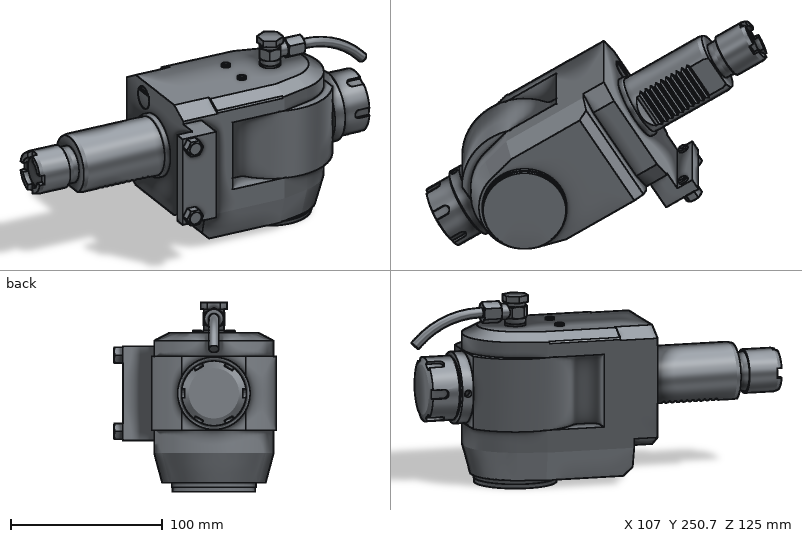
import cadquery as cq
import math


SIDES = (-1, 1)

HALF_WIDTH = 39.4
TOP_Z = 39.9
MOUNT_HEIGHT_BELOW = 40.0
MOUNT_LENGTH = 25.5
MOUNT_CHAMFER_X = 12.5
MOUNT_CHAMFER_Z = 6.8
PIVOT_Y = 86.0
NOSE_RADIUS = 35.3
NOSE_TAPER = math.radians(15)
BACK_Y = PIVOT_Y + NOSE_RADIUS
TOP_BEVEL_INSET = 10.0
TOP_BEVEL_DROP = 5.3
EDGE_BREAK_X = 0.8
EDGE_BREAK_Z = 1.0
EDGE_BREAK_END_Y = 74.2

DRAFT_TOP_Z = -39.4
DRAFT_INSET = 5.3
BOTTOM_Z = -59.0
LOWER_FRONT_Y = 16.0
LOWER_CHAMFER = 6.0
COVER_RADIUS = 27.8
COVER_HEIGHT = 6.0
COVER_STEP = 3.0
COVER_STEP_RADIUS = 27.3

DRUM_RADIUS = 41.0
DRUM_HALF_HEIGHT = 24.3
POCKET_WALL_Y = 36.8
POCKET_FLOOR_X = 23.8
POCKET_CORNER_RADIUS = 5.5
POCKET_BLEND_RADIUS = 4.8

COLLAR_RADIUS = 23.8
COLLAR_GAP = 0.5
COLLAR_SEAT_RADIUS = 20.0
COLLAR_LENGTH = 7.5
COLLAR_HOLE_RADIUS = 2.3
COLLAR_HOLE_DEPTH = 5.0
NUT_GROOVE_RADIUS = 20.0
NUT_GROOVE_WIDTH = 1.3
NUT_RADIUS = 21.3
NUT_LENGTH = 19.8
NUT_BEVEL_LENGTH = 1.5
NUT_FACE_RADIUS = 16.5
NUT_SLOTS = 6
NUT_SLOT_WIDTH = 6.0
NUT_SLOT_LENGTH = 12.3
NUT_SLOT_DEPTH = 2.3

FLANGE_RADIUS = 21.5
FLANGE_LENGTH = 3.5
FLANGE_ROUND = 0.8
SHANK_RADIUS = 20.0
SHANK_LENGTH = 63.5
SHANK_CHAMFER_LENGTH = 3.0
SHANK_CHAMFER_RADIAL = 0.8
FLAT_Z = -16.0
FLAT_START_Y = -8.5
TOOTH_COUNT = 10
TOOTH_PITCH = 4.0
TOOTH_DEPTH = 1.5
TOOTH_FIRST_Y = -12.3
TOOTH_HALF_WIDTH = 1.5

NECK_RADIUS = 12.5
NECK_STEP_Y = -67.2
NECK_END_RADIUS = 13.3
COUPLING_RADIUS = 14.5
COUPLING_START_Y = -71.0
COUPLING_END_Y = -93.2
COUPLING_CHAMFER_LENGTH = 2.8
COUPLING_CHAMFER_RADIAL = 0.8
COUPLING_BORE_RADIUS = 10.3
COUPLING_BORE_DEPTH = 4.0
COUPLING_SLOT_WIDTH = 6.5
COUPLING_SLOT_DEPTH = 3.3

PLUG_X = -16.0
PLUG_Z = 27.8
PLUG_RADIUS = 7.8
PLUG_CHORD_Z = 31.0
PLUG_SINK = 0.3
PLUG_RECESS = 2.0

BRACKET_X = 60.0
BRACKET_DEPTH = 13.5
BRACKET_HALF_HEIGHT = 31.0
BRACKET_LIP = 11.5
BRACKET_LIP_THICKNESS = 7.8
BOLT_Y = -5.0
BOLT_Z = 25.0
BOLT_HEX_FLATS = 10.5
BOLT_HEAD_LENGTH = 6.0
BOLT_HEAD_CHAMFER = 0.8
BOLT_FACE_RADIUS = 4.3
BOLT_RADIUS = 3.3
BOLT_TIP_LENGTH = 2.5
BOLT_TIP_CHAMFER = 1.0

SCREW_X = 11.0
SCREW_Y = 59.0
SCREW_RADIUS = 3.0
SCREW_HEIGHT = 1.5
SCREW_CHAMFER = 0.5
SCREW_SOCKET_FLATS = 2.8
SCREW_SOCKET_DEPTH = 1.3

FITTING_RADIUS = 6.8
FITTING_FLANGE_HEIGHT = 1.5
FITTING_FLANGE_RADIUS = 7.0
FITTING_HEX_FLATS = 14.0
FITTING_HEX_BOTTOM_Z = 44.9
FITTING_HEX_TOP_Z = 53.0
FITTING_HEX_CHAMFER = 0.8
CAP_HEX_FLATS = 15.0
CAP_BOTTOM_Z = 55.5
CAP_TOP_Z = 60.0
HOSE_Z = 49.1
STUB_RADIUS = 5.3
HOSE_NUT_FLATS = 12.5
HOSE_NUT_START_Y = 96.8
HOSE_NUT_LENGTH = 12.3
HOSE_NUT_CHAMFER = 0.8
HOSE_RADIUS = 3.3
HOSE_BEND_START_Y = 111.3
HOSE_BEND_RADIUS = 57.7
HOSE_BEND_ANGLE = math.radians(46)
HOSE_TIP_LENGTH = 3.3


def box_between(low, high):
    """Axis-aligned box between two opposite corners."""
    size = [b - a for a, b in zip(low, high)]
    return cq.Workplane("XY").box(*size, centered=False).translate(low)


def turned(points):
    """Solid of revolution about the Y axis from (radius, y) points."""
    return cq.Workplane("XY").polyline(points).close().revolve(360, (0, 0, 0), (0, 1, 0))


def hex_corners(flats):
    """Size across the corners of a hexagon, from its size across the flats."""
    return flats / math.cos(math.pi / 6)


def hex_prism(flats, length):
    """Hexagonal prism along +Z with two corners on the X axis."""
    return cq.Workplane("XY").polygon(6, hex_corners(flats)).extrude(length)


def turned_hex(flats, length, chamfer, face_radius, both_ends=False):
    """Hexagonal prism along +Z with corners on the Y axis, turned down to a round face at its ends."""
    radius = hex_corners(flats) / 2
    start = [(face_radius, 0), (radius, chamfer)] if both_ends else [(radius, 0)]
    profile = [(0, 0), *start, (radius, length - chamfer), (face_radius, length), (0, length)]
    blank = cq.Workplane("XZ").polyline(profile).close().revolve(360, (0, 0, 0), (0, 1, 0))
    return hex_prism(flats, length).rotate((0, 0, 0), (0, 0, 1), 90).intersect(blank)


def housing_outline(z, front_y, inset=0.0):
    """Plan outline with parallel sides, tapered shoulders and a round nose."""
    radius = NOSE_RADIUS - inset
    half_width = HALF_WIDTH - inset
    tangent_x = radius * math.cos(NOSE_TAPER)
    tangent_y = PIVOT_Y + radius * math.sin(NOSE_TAPER)
    shoulder_y = tangent_y - (half_width - tangent_x) / math.tan(NOSE_TAPER)
    return (
        cq.Workplane("XY", origin=(0, 0, z))
        .moveTo(-half_width, front_y)
        .lineTo(half_width, front_y)
        .lineTo(half_width, shoulder_y)
        .lineTo(tangent_x, tangent_y)
        .threePointArc((0, PIVOT_Y + radius), (-tangent_x, tangent_y))
        .lineTo(-half_width, shoulder_y)
        .close()
    )


def housing_taper(front_y, z_full, z_inset, inset):
    """Housing slice that narrows from the full outline to the inset one."""
    wires = [
        housing_outline(z_full, front_y).val(),
        housing_outline(z_inset, front_y, inset).val(),
    ]
    return cq.Workplane(cq.Solid.makeLoft(wires, True))


def mount_block():
    """Block behind the mounting face, bevelled along its four long edges."""
    inner_x = HALF_WIDTH - MOUNT_CHAMFER_X
    upper_z = TOP_Z - MOUNT_CHAMFER_Z
    lower_z = MOUNT_CHAMFER_Z - MOUNT_HEIGHT_BELOW
    right = [(inner_x, -MOUNT_HEIGHT_BELOW), (HALF_WIDTH, lower_z), (HALF_WIDTH, upper_z), (inner_x, TOP_Z)]
    left = [(-x, z) for x, z in reversed(right)]
    return cq.Workplane("XZ").polyline(right + left).close().extrude(-MOUNT_LENGTH)


def edge_break(side):
    """Narrow chamfer along the straight stretch of the housing's top bevel."""
    bevel_z = TOP_Z - TOP_BEVEL_DROP
    slope = TOP_BEVEL_DROP / TOP_BEVEL_INSET
    profile = [
        (side * HALF_WIDTH, bevel_z - EDGE_BREAK_Z),
        (side * (HALF_WIDTH - EDGE_BREAK_X), bevel_z + EDGE_BREAK_X * slope),
        (side * HALF_WIDTH, bevel_z + EDGE_BREAK_X),
    ]
    length = EDGE_BREAK_END_Y - MOUNT_LENGTH
    return cq.Workplane("XZ", origin=(0, MOUNT_LENGTH, 0)).polyline(profile).close().extrude(-length)


def arc_point(center_x, center_y, radius, angle):
    """Point on a circle in plan, with the angle in radians counter-clockwise from +X."""
    return center_x + radius * math.cos(angle), center_y + radius * math.sin(angle)


def relief_pocket():
    """Pockets in both sides, each with a round between its flat floor and its wall."""
    block = box_between((POCKET_FLOOR_X, POCKET_WALL_Y, -DRUM_HALF_HEIGHT),
                        (DRUM_RADIUS, PIVOT_Y, DRUM_HALF_HEIGHT))
    right = block.edges("|Z and <X and <Y").fillet(POCKET_CORNER_RADIUS)
    return right.union(right.mirror("YZ"))


def drum():
    """Round drum cut off flush with the back, blended into the flat pocket floors in front."""
    blend_x = POCKET_FLOOR_X + POCKET_BLEND_RADIUS
    blend_angle = -math.acos(blend_x / (DRUM_RADIUS + POCKET_BLEND_RADIUS))
    blend_y = PIVOT_Y + (DRUM_RADIUS + POCKET_BLEND_RADIUS) * math.sin(blend_angle)
    back_angle = math.asin((BACK_Y - PIVOT_Y) / DRUM_RADIUS)
    blend_end = (POCKET_FLOOR_X, blend_y)
    blend_middle = arc_point(blend_x, blend_y, POCKET_BLEND_RADIUS, math.pi + blend_angle / 2)
    drum_start = arc_point(0, PIVOT_Y, DRUM_RADIUS, blend_angle)
    drum_middle = (DRUM_RADIUS, PIVOT_Y)
    drum_end = arc_point(0, PIVOT_Y, DRUM_RADIUS, back_angle)
    half_plan = (
        cq.Workplane("XY", origin=(0, 0, -DRUM_HALF_HEIGHT))
        .moveTo(0, blend_y)
        .lineTo(*blend_end)
        .threePointArc(blend_middle, drum_start)
        .threePointArc(drum_middle, drum_end)
        .lineTo(0, BACK_Y)
        .close()
        .extrude(2 * DRUM_HALF_HEIGHT)
    )
    return half_plan.union(half_plan.mirror("YZ"))


def lower_housing():
    """Drafted underside with a chamfered front edge and the cover disc."""
    lower = housing_taper(LOWER_FRONT_Y, DRAFT_TOP_Z, BOTTOM_Z, DRAFT_INSET)
    corner = [
        (LOWER_FRONT_Y, BOTTOM_Z),
        (LOWER_FRONT_Y + LOWER_CHAMFER, BOTTOM_Z),
        (LOWER_FRONT_Y, BOTTOM_Z + LOWER_CHAMFER),
    ]
    lower = lower.cut(cq.Workplane("YZ").polyline(corner).close().extrude(HALF_WIDTH, both=True))
    cover = (
        cq.Workplane("XY", origin=(0, PIVOT_Y, BOTTOM_Z))
        .circle(COVER_RADIUS)
        .extrude(-COVER_STEP)
        .faces("<Z")
        .workplane()
        .circle(COVER_STEP_RADIUS)
        .extrude(COVER_HEIGHT - COVER_STEP)
    )
    return lower.union(cover)


def housing():
    bevel_z = TOP_Z - TOP_BEVEL_DROP
    body = mount_block()
    body = body.union(housing_outline(DRAFT_TOP_Z, LOWER_FRONT_Y).extrude(-DRAFT_TOP_Z))
    body = body.union(housing_outline(0, MOUNT_LENGTH).extrude(bevel_z))
    body = body.union(housing_taper(MOUNT_LENGTH, bevel_z, TOP_Z, TOP_BEVEL_INSET))
    body = body.union(lower_housing())
    body = body.cut(relief_pocket()).union(drum())
    for side in SIDES:
        body = body.cut(edge_break(side))
    return body


def spindle_nose():
    """Collar and slotted collet nut at the back of the housing."""
    collar_start = BACK_Y + COLLAR_GAP
    collar_end = collar_start + COLLAR_LENGTH
    nut_start = collar_end + NUT_GROOVE_WIDTH
    nut_end = nut_start + NUT_LENGTH
    nose = turned([
        (0, PIVOT_Y),
        (COLLAR_SEAT_RADIUS, PIVOT_Y),
        (COLLAR_SEAT_RADIUS, collar_start),
        (COLLAR_RADIUS, collar_start),
        (COLLAR_RADIUS, collar_end),
        (NUT_GROOVE_RADIUS, collar_end),
        (NUT_GROOVE_RADIUS, nut_start),
        (NUT_RADIUS, nut_start),
        (NUT_RADIUS, nut_end - NUT_BEVEL_LENGTH),
        (NUT_FACE_RADIUS, nut_end),
        (0, nut_end),
    ])
    floor = NUT_RADIUS - NUT_SLOT_DEPTH
    slot_end = nut_end - NUT_SLOT_LENGTH + NUT_SLOT_WIDTH / 2
    slot = (
        cq.Workplane("YZ", origin=(floor, 0, 0))
        .moveTo(nut_end, NUT_SLOT_WIDTH / 2)
        .lineTo(slot_end, NUT_SLOT_WIDTH / 2)
        .threePointArc((slot_end - NUT_SLOT_WIDTH / 2, 0), (slot_end, -NUT_SLOT_WIDTH / 2))
        .lineTo(nut_end, -NUT_SLOT_WIDTH / 2)
        .close()
        .extrude(2 * NUT_SLOT_DEPTH)
    )
    for index in range(NUT_SLOTS):
        nose = nose.cut(slot.rotate((0, 0, 0), (0, 1, 0), index * 360 / NUT_SLOTS))
    hole = (
        cq.Workplane("YZ", origin=(-COLLAR_RADIUS, (collar_start + collar_end) / 2, 0))
        .circle(COLLAR_HOLE_RADIUS)
        .extrude(COLLAR_HOLE_DEPTH)
    )
    return nose.cut(hole)


def shank():
    """Round shank with a flanged root and a serrated flat underneath."""
    body = turned([
        (0, MOUNT_LENGTH),
        (SHANK_RADIUS, MOUNT_LENGTH),
        (SHANK_RADIUS, -SHANK_LENGTH + SHANK_CHAMFER_LENGTH),
        (SHANK_RADIUS - SHANK_CHAMFER_RADIAL, -SHANK_LENGTH),
        (0, -SHANK_LENGTH),
    ])
    run_out = FLAT_Z + FLANGE_RADIUS
    flat = [
        (FLAT_START_Y, FLAT_Z),
        (-SHANK_LENGTH, FLAT_Z),
        (-SHANK_LENGTH, FLAT_Z - run_out),
        (FLAT_START_Y + run_out, FLAT_Z - run_out),
    ]
    body = body.cut(cq.Workplane("YZ").polyline(flat).close().extrude(SHANK_RADIUS, both=True))
    for index in range(TOOTH_COUNT):
        y = TOOTH_FIRST_Y - index * TOOTH_PITCH
        groove = [(y - TOOTH_HALF_WIDTH, FLAT_Z), (y, FLAT_Z + TOOTH_DEPTH), (y + TOOTH_HALF_WIDTH, FLAT_Z)]
        body = body.cut(cq.Workplane("YZ").polyline(groove).close().extrude(SHANK_RADIUS, both=True))
    flange = cq.Workplane("XZ").circle(FLANGE_RADIUS).extrude(FLANGE_LENGTH)
    flange = flange.faces("<Y").edges().fillet(FLANGE_ROUND)
    return body.union(flange)


def coupling():
    """Necked drive coupling with a bored, four-slot end."""
    body = turned([
        (0, -SHANK_LENGTH),
        (NECK_RADIUS, -SHANK_LENGTH),
        (NECK_RADIUS, NECK_STEP_Y),
        (NECK_END_RADIUS, COUPLING_START_Y),
        (COUPLING_RADIUS, COUPLING_START_Y),
        (COUPLING_RADIUS, COUPLING_END_Y + COUPLING_CHAMFER_LENGTH),
        (COUPLING_RADIUS - COUPLING_CHAMFER_RADIAL, COUPLING_END_Y),
        (COUPLING_BORE_RADIUS, COUPLING_END_Y),
        (COUPLING_BORE_RADIUS, COUPLING_END_Y + COUPLING_BORE_DEPTH),
        (0, COUPLING_END_Y + COUPLING_BORE_DEPTH),
    ])
    half_slot = COUPLING_SLOT_WIDTH / 2
    slot = box_between((-COUPLING_RADIUS, COUPLING_END_Y, -half_slot),
                       (COUPLING_RADIUS, COUPLING_END_Y + COUPLING_SLOT_DEPTH, half_slot))
    return body.cut(slot).cut(slot.rotate((0, 0, 0), (0, 1, 0), 90))


def plug_recess():
    """Shallow round sink over the plug, deeper above the chord that cuts it."""
    disc = cq.Workplane("XZ").center(PLUG_X, PLUG_Z).circle(PLUG_RADIUS).extrude(-PLUG_RECESS)
    above = box_between((PLUG_X - PLUG_RADIUS, 0, PLUG_CHORD_Z),
                        (PLUG_X + PLUG_RADIUS, PLUG_RECESS, PLUG_Z + PLUG_RADIUS))
    sink = box_between((PLUG_X - PLUG_RADIUS, 0, PLUG_Z - PLUG_RADIUS),
                       (PLUG_X + PLUG_RADIUS, PLUG_SINK, PLUG_Z + PLUG_RADIUS))
    return disc.intersect(above.union(sink))


def bracket():
    """L-shaped side bracket with two hexagon bolts through its lip."""
    lip_x = BRACKET_X - BRACKET_LIP_THICKNESS
    plan = [
        (HALF_WIDTH, 0),
        (lip_x, 0),
        (lip_x, -BRACKET_LIP),
        (BRACKET_X, -BRACKET_LIP),
        (BRACKET_X, BRACKET_DEPTH),
        (HALF_WIDTH, BRACKET_DEPTH),
    ]
    body = cq.Workplane("XY").polyline(plan).close().extrude(BRACKET_HALF_HEIGHT, both=True)
    head = turned_hex(BOLT_HEX_FLATS, BOLT_HEAD_LENGTH, BOLT_HEAD_CHAMFER, BOLT_FACE_RADIUS)
    head = head.rotate((0, 0, 0), (0, 1, 0), 90)
    tip = cq.Workplane("XY").circle(BOLT_RADIUS).extrude(BOLT_TIP_LENGTH)
    tip = tip.faces(">Z").chamfer(BOLT_TIP_CHAMFER).rotate((0, 0, 0), (0, 1, 0), -90)
    for side in SIDES:
        body = body.union(head.translate((BRACKET_X, BOLT_Y, side * BOLT_Z)))
        body = body.union(tip.translate((lip_x, BOLT_Y, side * BOLT_Z)))
    return body


def top_screw():
    """Low socket screw head standing on the top face."""
    head = cq.Workplane("XY").circle(SCREW_RADIUS).extrude(SCREW_HEIGHT).faces(">Z").chamfer(SCREW_CHAMFER)
    socket = hex_prism(SCREW_SOCKET_FLATS, SCREW_SOCKET_DEPTH)
    return head.cut(socket.translate((0, 0, SCREW_HEIGHT - SCREW_SOCKET_DEPTH)))


def coolant_fitting():
    """Upright banjo fitting with a hexagon body and a hexagon cap."""
    base = cq.Workplane("XY", origin=(0, PIVOT_Y, TOP_Z))
    fitting = base.circle(FITTING_RADIUS).extrude(CAP_BOTTOM_Z - TOP_Z)
    fitting = fitting.union(base.circle(FITTING_FLANGE_RADIUS).extrude(FITTING_FLANGE_HEIGHT))
    hex_height = FITTING_HEX_TOP_Z - FITTING_HEX_BOTTOM_Z
    body = turned_hex(FITTING_HEX_FLATS, hex_height, FITTING_HEX_CHAMFER, FITTING_HEX_FLATS / 2, True)
    cap = hex_prism(CAP_HEX_FLATS, CAP_TOP_Z - CAP_BOTTOM_Z)
    fitting = fitting.union(body.translate((0, PIVOT_Y, FITTING_HEX_BOTTOM_Z)))
    return fitting.union(cap.translate((0, PIVOT_Y, CAP_BOTTOM_Z)))


def coolant_hose():
    """Stub, union nut and hose bent down towards the tool."""
    stub_start = cq.Workplane("XZ", origin=(0, PIVOT_Y, HOSE_Z))
    stub = stub_start.circle(STUB_RADIUS).extrude(PIVOT_Y - HOSE_NUT_START_Y)
    nut = turned_hex(HOSE_NUT_FLATS, HOSE_NUT_LENGTH, HOSE_NUT_CHAMFER, HOSE_NUT_FLATS / 2, True)
    nut = nut.rotate((0, 0, 0), (1, 0, 0), -90).translate((0, HOSE_NUT_START_Y, HOSE_Z))

    def bend_point(angle):
        return (HOSE_BEND_START_Y + HOSE_BEND_RADIUS * math.sin(angle),
                HOSE_Z - HOSE_BEND_RADIUS * (1 - math.cos(angle)))

    bend_end = bend_point(HOSE_BEND_ANGLE)
    tip = (bend_end[0] + HOSE_TIP_LENGTH * math.cos(HOSE_BEND_ANGLE),
           bend_end[1] - HOSE_TIP_LENGTH * math.sin(HOSE_BEND_ANGLE))
    path = (
        cq.Workplane("YZ")
        .moveTo(HOSE_NUT_START_Y, HOSE_Z)
        .lineTo(HOSE_BEND_START_Y, HOSE_Z)
        .threePointArc(bend_point(HOSE_BEND_ANGLE / 2), bend_end)
        .lineTo(*tip)
    )
    hose = cq.Workplane("XZ", origin=(0, HOSE_NUT_START_Y, HOSE_Z)).circle(HOSE_RADIUS).sweep(path)
    return stub.union(nut).union(hose)


result = housing().cut(plug_recess())
for component in (spindle_nose(), shank(), coupling(), bracket(), coolant_fitting(), coolant_hose()):
    result = result.union(component)
for side in SIDES:
    result = result.union(top_screw().translate((side * SCREW_X, SCREW_Y, TOP_Z)))